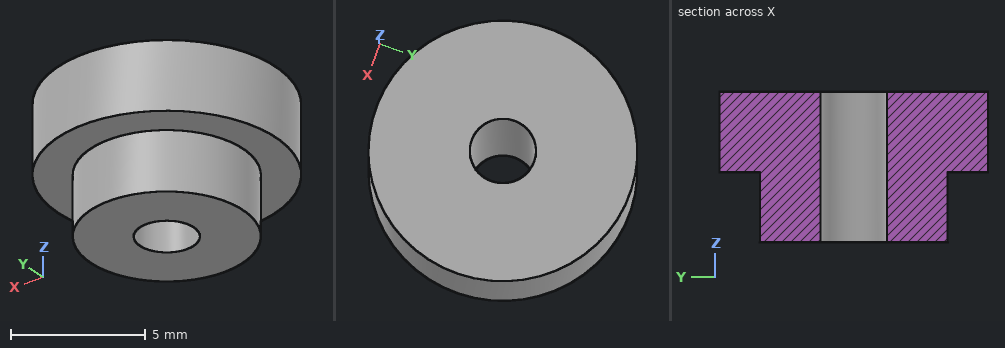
import cadquery as cq

head_diameter = 10
spigot_diameter = 7
bore_diameter = 2.46
total_height = 5.6
head_height = 3
spigot_height = total_height - head_height

spigot = cq.Workplane("XY").circle(spigot_diameter / 2).extrude(spigot_height)
head = cq.Workplane("XY").workplane(offset=spigot_height).circle(head_diameter / 2).extrude(head_height)

bore = cq.Workplane("XY").circle(bore_diameter / 2).extrude(total_height)

result = spigot.union(head).cut(bore)